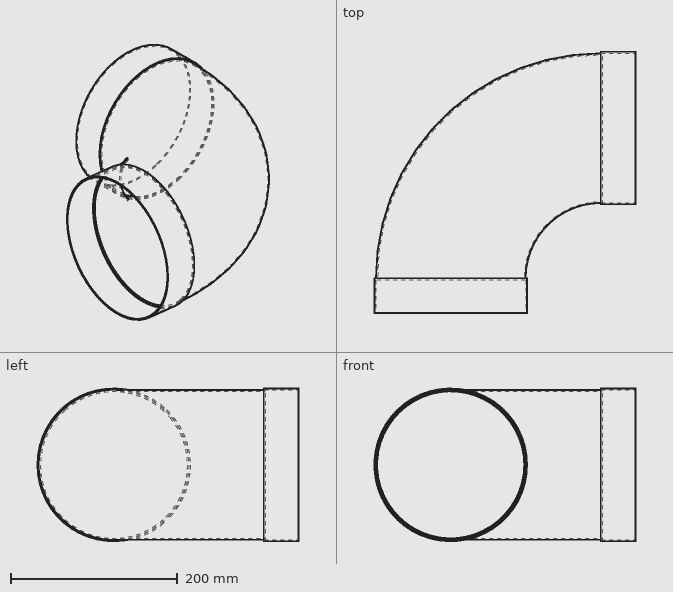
import cadquery as cq

overall_length = 313.5
collar_outer_diameter = 183.5
collar_length = 42.0
pipe_outer_diameter = 180.0
pipe_inner_diameter = 176.2

socket_diameter = pipe_outer_diameter
cone_length = (socket_diameter - pipe_inner_diameter) / 2

bend_radius = overall_length - collar_outer_diameter / 2 - collar_length

inlet_plane = cq.Plane(origin=(-bend_radius, 0, 0), xDir=(1, 0, 0), normal=(0, -1, 0))
outlet_plane = cq.Plane(origin=(0, bend_radius, 0), xDir=(0, 1, 0), normal=(1, 0, 0))


def bend(diameter):
    """Solid quarter torus running from the inlet plane to the outlet plane."""
    return (
        cq.Workplane("XZ")
        .center(-bend_radius, 0)
        .circle(diameter / 2)
        .revolve(90, (bend_radius, 0), (bend_radius, -1))
    )


def collar_solid(plane):
    """Solid cylinder reaching outward from one end of the bend."""
    return cq.Workplane(plane).circle(collar_outer_diameter / 2).extrude(collar_length)


def socket_cavity(plane):
    """Socket bore with its conical bottom starting at the end of the bend."""
    bore = cq.Workplane(plane).circle(socket_diameter / 2).extrude(collar_length)
    bottom = bore.faces(cq.NearestToPointSelector(plane.origin.toTuple()))
    return bottom.chamfer(cone_length)


body = bend(pipe_outer_diameter)
for plane in (inlet_plane, outlet_plane):
    body = body.union(collar_solid(plane))

body = body.cut(bend(pipe_inner_diameter))
for plane in (inlet_plane, outlet_plane):
    body = body.cut(socket_cavity(plane))

result = body